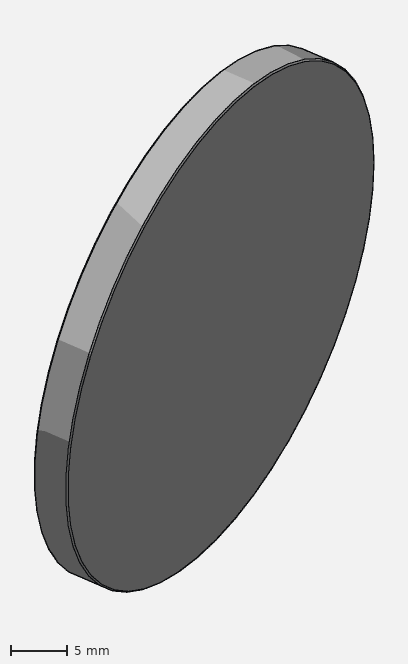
import cadquery as cq

diameter = 50.8
center_thickness = 5.4
edge_thickness = 3.55
bevel = 0.15

radius = diameter / 2
half_center = center_thickness / 2
half_edge = edge_thickness / 2
face_radius = radius - bevel
sag = half_center - half_edge
sphere_radius = (face_radius**2 + sag**2) / (2 * sag)

mid_height = face_radius / 2
mid_x = half_center - sphere_radius + (sphere_radius**2 - mid_height**2) ** 0.5

half_section = (
    cq.Workplane("XY")
    .moveTo(-half_center, 0)
    .threePointArc((-mid_x, mid_height), (-half_edge, face_radius))
    .lineTo(-half_edge + bevel, radius)
    .lineTo(half_edge - bevel, radius)
    .lineTo(half_edge, face_radius)
    .threePointArc((mid_x, mid_height), (half_center, 0))
    .close()
)
result = half_section.revolve(360, (0, 0, 0), (1, 0, 0))